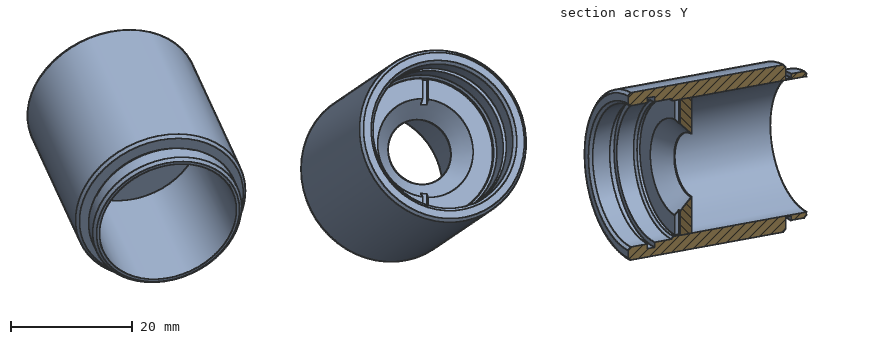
import cadquery as cq


length = 34.15
body_diameter = 29.0
body_length = 30.15
edge_chamfer = 0.5

relief_radius = 12.0
relief_width = 1.0
male_radius = 12.7

socket_radius = 12.15
groove_radius = 12.98
groove_start = 3.75
groove_end = 5.05
inner_socket_radius = 12.1
socket_depth = 8.25
bore_radius = 11.68

ring_face = 9.22
cone_mouth_radius = 8.3
aperture_radius = 5.45
aperture_land = 0.17
slot_width = 1.0
slot_depth = 0.8

body_radius = body_diameter / 2
collar_start = body_length + relief_width
bore_start = socket_depth + inner_socket_radius - bore_radius
cone_depth = cone_mouth_radius - aperture_radius
ring_thickness = cone_depth + aperture_land


def revolve_about_x(profile):
    """Solid of revolution of a closed (x, radius) profile about the X axis."""
    return cq.Workplane("XY").polyline(profile).close().revolve(360, (0, 0, 0), (1, 0, 0))


def make_tube():
    """Tube: socket at the -X end, male collar at the +X end."""
    outside = [
        (0, body_radius - edge_chamfer),
        (edge_chamfer, body_radius),
        (body_length - edge_chamfer, body_radius),
        (body_length, body_radius - edge_chamfer),
        (body_length, relief_radius),
        (collar_start, relief_radius),
        (collar_start, male_radius),
        (length - edge_chamfer, male_radius),
        (length, male_radius - edge_chamfer),
    ]
    inside = [
        (length, bore_radius),
        (bore_start, bore_radius),
        (socket_depth, inner_socket_radius),
        (groove_end, inner_socket_radius),
        (groove_end, groove_radius),
        (groove_start, groove_radius),
        (groove_start, socket_radius),
        (edge_chamfer, socket_radius),
        (0, socket_radius + edge_chamfer),
    ]
    return revolve_about_x(outside + inside)


def make_retaining_ring():
    """Ring filling the bore, with a flared aperture and a spanner slot across its face."""
    ring = revolve_about_x([
        (ring_face, cone_mouth_radius),
        (ring_face, bore_radius),
        (ring_face + ring_thickness, bore_radius),
        (ring_face + ring_thickness, aperture_radius),
        (ring_face + cone_depth, aperture_radius),
    ])
    slot = (
        cq.Workplane("XY")
        .box(slot_depth, slot_width, 2 * bore_radius, centered=(False, True, True))
        .translate((ring_face, 0, 0))
    )
    return ring.cut(slot)


tube = make_tube()
retaining_ring = make_retaining_ring()

result = cq.Compound.makeCompound([tube.val(), retaining_ring.val()])